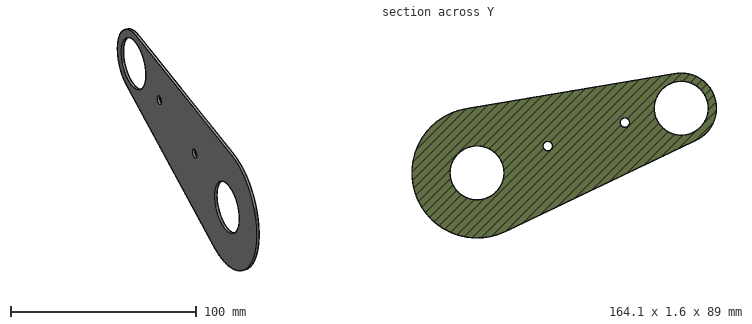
import cadquery as cq
import math

length = 164.1
height = 89.0
thickness = 1.6
small_end_radius = 19.0
large_end_radius = 35.1

bore_diameter = 28.9
pin_hole_diameter = 5.0
pin_hole_offsets = [(30.4, -7.7), (71.9, -20.3)]

small_center = (0.0, 0.0)
large_center = (
    length - small_end_radius - large_end_radius,
    -(height - small_end_radius - large_end_radius),
)

center_distance = math.hypot(*large_center)
axis_angle = math.atan2(large_center[1], large_center[0])
tangent_spread = math.acos((small_end_radius - large_end_radius) / center_distance)
upper_angle = axis_angle + tangent_spread
lower_angle = axis_angle - tangent_spread


def point_on_circle(center, radius, angle):
    return (
        center[0] + radius * math.cos(angle),
        center[1] + radius * math.sin(angle),
    )


plate = (
    cq.Workplane("XZ")
    .moveTo(*point_on_circle(small_center, small_end_radius, upper_angle))
    .lineTo(*point_on_circle(large_center, large_end_radius, upper_angle))
    .threePointArc(
        point_on_circle(large_center, large_end_radius, axis_angle),
        point_on_circle(large_center, large_end_radius, lower_angle),
    )
    .lineTo(*point_on_circle(small_center, small_end_radius, lower_angle))
    .threePointArc(
        point_on_circle(small_center, small_end_radius, axis_angle + math.pi),
        point_on_circle(small_center, small_end_radius, upper_angle),
    )
    .close()
    .extrude(thickness)
)


def through_holes(centers, diameter):
    return cq.Workplane("XZ").pushPoints(centers).circle(diameter / 2).extrude(thickness)


bores = through_holes([small_center, large_center], bore_diameter)
pin_holes = through_holes(pin_hole_offsets, pin_hole_diameter)

result = plate.cut(bores).cut(pin_holes)